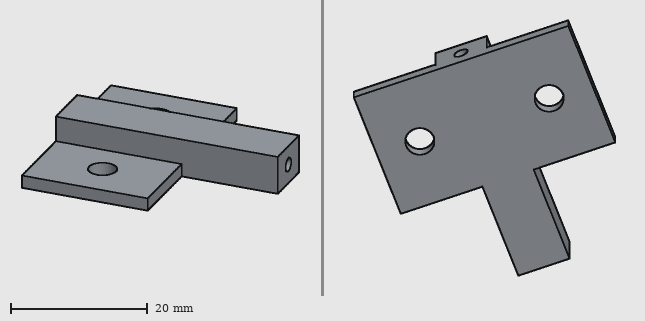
import cadquery as cq

bar_length = 35.25
bar_width = 8.0
bar_height = 6.0
bore_diameter = 2.08

plate_length = 19.98
plate_width = 33.4
plate_thickness = 2.0
mount_hole_diameter = 4.25
mount_hole_spacing = 20.12


def centered_on_y(length, width, height):
    """Block starting at X = 0 and Z = 0, centred across Y."""
    return cq.Workplane("XY").box(length, width, height, centered=(False, True, False))


def make_plate():
    """Plate with a mounting hole on each side of the bar."""
    hole_x = plate_length / 2
    hole_y = mount_hole_spacing / 2
    holes = (
        cq.Workplane("XY")
        .pushPoints([(hole_x, -hole_y), (hole_x, hole_y)])
        .circle(mount_hole_diameter / 2)
        .extrude(plate_thickness)
    )
    return centered_on_y(plate_length, plate_width, plate_thickness).cut(holes)


def make_bore():
    """Round bore along the full length of the bar, at mid-height."""
    return (
        cq.Workplane("YZ")
        .center(0, bar_height / 2)
        .circle(bore_diameter / 2)
        .extrude(bar_length)
    )


bar = centered_on_y(bar_length, bar_width, bar_height)
result = make_plate().union(bar).cut(make_bore())